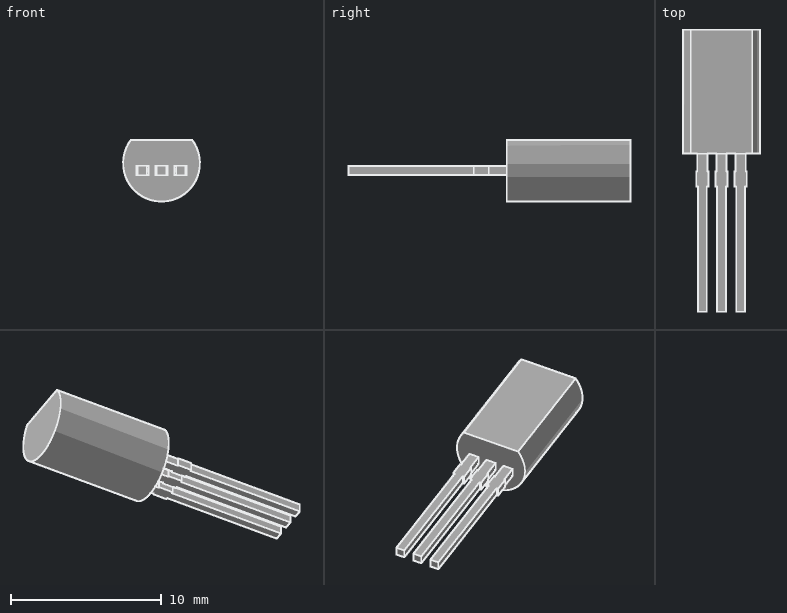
import cadquery as cq
import math

total_length = 18.7

housing_length = 8.2
housing_radius = 2.553
housing_height = 4.1
flat_z = housing_height - housing_radius
flat_half_width = math.sqrt(housing_radius**2 - flat_z**2)

lead_count = 3
lead_pitch = 1.27
lead_thickness = 0.62
lead_center_z = -0.49
lead_length = total_length - housing_length
root_width = 0.7
root_length = 1.18
collar_width = 0.82
collar_length = 1.01
tip_width = 0.6


def make_housing():
    """D-shaped bar from Y = 0 to Y = housing_length."""
    return (
        cq.Workplane("XZ")
        .moveTo(-flat_half_width, flat_z)
        .threePointArc((0, -housing_radius), (flat_half_width, flat_z))
        .close()
        .extrude(-housing_length)
    )


def make_lead(center_x):
    """Strip with a root, a wider collar and a narrower tip."""
    collar_start = -root_length
    collar_end = collar_start - collar_length
    half_outline = [
        (0, 0),
        (root_width / 2, 0),
        (root_width / 2, collar_start),
        (collar_width / 2, collar_start),
        (collar_width / 2, collar_end),
        (tip_width / 2, collar_end),
        (tip_width / 2, -lead_length),
        (0, -lead_length),
    ]
    return (
        cq.Workplane("XY")
        .polyline(half_outline)
        .mirrorY()
        .extrude(lead_thickness / 2, both=True)
        .translate((center_x, 0, lead_center_z))
    )


housing = make_housing()

leads = []
for index in range(lead_count):
    offset_from_middle = index - (lead_count - 1) / 2
    leads.append(make_lead(offset_from_middle * lead_pitch))

result = cq.Compound.makeCompound([housing.val(), *[lead.val() for lead in leads]])